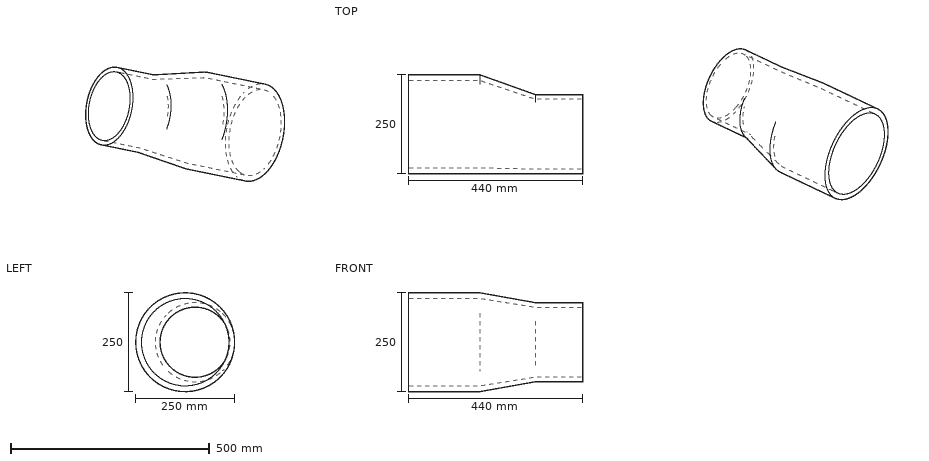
import cadquery as cq

large_outer_diameter = 250.0
large_inner_diameter = 220.4
small_outer_diameter = 200.0
small_inner_diameter = 176.2

large_length = 180.0
transition_length = 140.0
small_length = 120.0

small_center_y = -(large_outer_diameter - small_outer_diameter) / 2

transition_start_x = large_length
small_start_x = large_length + transition_length


def straight_section(diameter, start_x, center_y, length):
    """Solid cylinder along +X."""
    return (
        cq.Workplane("YZ", origin=(start_x, center_y, 0))
        .circle(diameter / 2)
        .extrude(length)
    )


def transition(large_diameter, small_diameter):
    """Straight-sided oblique cone joining the two straight sections."""
    return (
        cq.Workplane("YZ", origin=(transition_start_x, 0, 0))
        .circle(large_diameter / 2)
        .workplane(offset=transition_length)
        .center(small_center_y, 0)
        .circle(small_diameter / 2)
        .loft(ruled=True, combine=True)
    )


def reducer_body(large_diameter, small_diameter):
    """Solid following the whole reducer at the given end diameters."""
    large_end = straight_section(large_diameter, 0, 0, large_length)
    small_end = straight_section(small_diameter, small_start_x, small_center_y, small_length)
    return large_end.union(transition(large_diameter, small_diameter)).union(small_end)


outer_body = reducer_body(large_outer_diameter, small_outer_diameter)
bore = reducer_body(large_inner_diameter, small_inner_diameter)

result = outer_body.cut(bore)